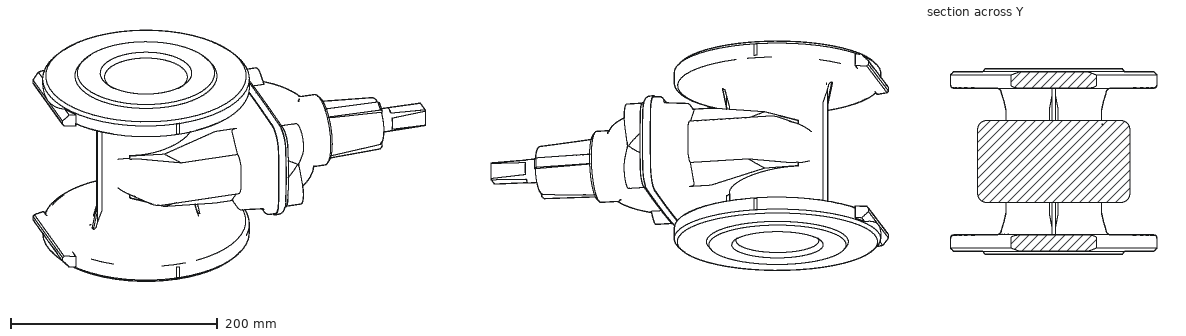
import cadquery as cq
import math

flange_dia = 200.0
face_to_face = 180.0
overall_length = 382
stem_tip_y = overall_length - flange_dia / 2

raised_face_height = 3.0
raised_face_dia = 137.5
raised_face_top_dia = 133.0
flange_thickness = 16.0
flange_edge_chamfer = 3.0
flange_back_fillet = 3.5
pipe_dia = 93.0
flare_start_z = 50.0
flare_end_dia = 101.5
flare_fillet = 4.5
recess_mouth_dia = 88.5
recess_floor_dia = 80.2
recess_depth = 4.2
mark_width = 3.0
mark_depth = 0.57

foot_tip_width = 91.5
foot_root_width = 100.0
foot_root_y = -88
foot_tip_height = 5.5
foot_height = 12.0
foot_slope_length = 6.0
foot_lower_chamfer = 1.5
rib_height = 3.5
rib_crest_width = 4
rib_base_width = 10.7

chamber_half_width = 63.0
chamber_roof_half_width = 44.0
chamber_front_half_width = 38.2
chamber_taper_start_y = 15.3
chamber_half_height = 39.0
chamber_front_half_height = 23
chamber_front_y = -28.5
chamber_slope_end_y = 56.0
rail_half_width = 72.0
rail_half_height = 20.5
rail_corner_radius = 13.8
rail_fillet = 7.5
tangent_angle = math.radians(28)
neck_front_y = 72.5
neck_half_width = 74.5
neck_half_height = 40.5
neck_draft = 2.0
neck_corner_radius = 9.0
neck_front_fillet = 2.3
neck_root_fillet = 2.5

joint_y = 107.5
housing_plate_thickness = 8.8
bonnet_plate_thickness = 8.8
bonnet_step_height = 2.5
plate_half_width = 86.5
plate_half_height = 49.0
plate_side_bulge = 4
plate_top_bulge = 1.5
plate_corner_radius = 21.0
housing_plate_inset = 1.0
bonnet_step_inset = 5.7
housing_plate_fillet = 3.5
bonnet_plate_fillet = 5.5
boss_radius = 16.0
boss_x = 62.3
boss_z = 26.0
boss_top_y = 135.0
face_web_angle = math.radians(28)
side_web_angle = math.radians(36)
face_web_reach = 5.5

dome_radius = 76.5
dome_center_y = 91.0
dome_edge_fillet = 12.2
dome_collar_fillet = 2.3
collar_dia = 69.0
collar_top_y = 179.0
collar_chamfer = 2.3
tower_base_dia = 54.2
tower_top_dia = 46.5
tower_top_y = 235.5
tower_edge_fillet = 2.3
tower_foot_flare = 1.0
tower_foot_height = 3.5
tower_rib_count = 3
tower_rib_width = 9.5
tower_rib_base_reach = 28.5
tower_rib_top_reach = 27.0
stem_dia = 23
square_base_y = 247.5
square_base_width = 19.5
square_tip_width = 17.0

flange_radius = flange_dia / 2
pipe_radius = pipe_dia / 2
flange_face_z = face_to_face / 2 - raised_face_height
flange_back_z = flange_face_z - flange_thickness
housing_plate_y = joint_y - housing_plate_thickness
bonnet_plate_y = joint_y + bonnet_plate_thickness
bonnet_step_y = bonnet_plate_y + bonnet_step_height


def plane_at_y(y):
    """Plane normal to the stem axis, with local x along X and local y along Z."""
    return cq.Plane(origin=(0, y, 0), xDir=(1, 0, 0), normal=(0, -1, 0))


def slab(sketch_at, y_start, y_end):
    """Extrude the outline drawn by sketch_at(workplane) between two Y positions."""
    return sketch_at(cq.Workplane(plane_at_y(y_end))).extrude(y_end - y_start)


def pipe_half():
    """Upper half of the flanged pipe as a solid of revolution, with its face recess."""
    flare_end_radius = flare_end_dia / 2
    flare_end_z = flange_back_z - flare_fillet
    fillet_mid = flare_fillet * (1 - math.sqrt(0.5))
    return (
        cq.Workplane("XZ")
        .moveTo(0, 0)
        .lineTo(pipe_radius, 0)
        .lineTo(pipe_radius, flare_start_z)
        .lineTo(flare_end_radius, flare_end_z)
        .threePointArc(
            (flare_end_radius + fillet_mid, flange_back_z - fillet_mid),
            (flare_end_radius + flare_fillet, flange_back_z),
        )
        .lineTo(flange_radius - flange_back_fillet, flange_back_z)
        .radiusArc((flange_radius, flange_back_z + flange_back_fillet), -flange_back_fillet)
        .lineTo(flange_radius, flange_face_z - flange_edge_chamfer)
        .lineTo(flange_radius - flange_edge_chamfer, flange_face_z)
        .lineTo(raised_face_dia / 2, flange_face_z)
        .lineTo(raised_face_top_dia / 2, face_to_face / 2)
        .lineTo(recess_mouth_dia / 2, face_to_face / 2)
        .lineTo(recess_floor_dia / 2, face_to_face / 2 - recess_depth)
        .lineTo(0, face_to_face / 2 - recess_depth)
        .close()
        .revolve(360, (0, 0, 0), (0, 1, 0))
    )


def side_mark():
    """Shallow vertical groove across each flange rim on both X sides."""
    return (
        cq.Workplane("XY")
        .workplane(offset=flange_back_z)
        .pushPoints([(-flange_radius, 0), (flange_radius, 0)])
        .rect(2 * mark_depth, mark_width)
        .extrude(flange_thickness - flange_edge_chamfer)
    )


def foot():
    """Flat standing foot on the -Y rim of the upper flange, sloped on its top."""
    plan = (
        cq.Workplane("XY")
        .workplane(offset=flange_back_z)
        .polyline([
            (-foot_root_width / 2, foot_root_y),
            (-foot_tip_width / 2, -flange_radius),
            (foot_tip_width / 2, -flange_radius),
            (foot_root_width / 2, foot_root_y),
        ])
        .close()
        .extrude(foot_height)
    )
    side = (
        cq.Workplane("YZ")
        .polyline([
            (foot_root_y, flange_back_z),
            (-flange_radius + foot_lower_chamfer, flange_back_z),
            (-flange_radius, flange_back_z + foot_lower_chamfer),
            (-flange_radius, flange_back_z + foot_tip_height),
            (-flange_radius + foot_slope_length, flange_back_z + foot_height),
            (foot_root_y, flange_back_z + foot_height),
        ])
        .close()
        .extrude(foot_root_width / 2, both=True)
    )
    return plan.intersect(side)


def pipe_rib_half():
    """Upper half of the tapered rib that follows the -Y side of the pipe and its flare."""
    flare_growth = (flare_end_dia - pipe_dia) / 2
    crest_y = -(pipe_radius + rib_height)
    side = (
        cq.Workplane("YZ")
        .polyline([
            (-pipe_radius / 2, 0),
            (crest_y, 0),
            (crest_y, flare_start_z),
            (crest_y - flare_growth, flange_back_z),
            (-pipe_radius / 2, flange_back_z),
        ])
        .close()
        .extrude(rib_base_width, both=True)
    )
    root_y = -pipe_radius + rib_height / 2
    section = (
        cq.Workplane("XY")
        .polyline([
            (-rib_base_width / 2, root_y),
            (-rib_crest_width / 2, crest_y),
            (-rib_crest_width / 2, crest_y - 2 * flare_growth),
            (rib_crest_width / 2, crest_y - 2 * flare_growth),
            (rib_crest_width / 2, crest_y),
            (rib_base_width / 2, root_y),
        ])
        .close()
        .extrude(flange_back_z)
    )
    return section.intersect(side)


def guide_rails():
    """Rails on both sides of the chamber, their front walls tangent to the pipe."""
    tangent_x = pipe_radius * math.sin(tangent_angle)
    tangent_y = -pipe_radius * math.cos(tangent_angle)
    corner_y = tangent_y + (rail_half_width - tangent_x) * math.tan(tangent_angle)
    block = (
        cq.Workplane("XY")
        .workplane(offset=-rail_half_height)
        .polyline([
            (-rail_half_width, housing_plate_y),
            (-rail_half_width, corner_y),
            (-tangent_x, tangent_y),
            (tangent_x, tangent_y),
            (rail_half_width, corner_y),
            (rail_half_width, housing_plate_y),
        ])
        .close()
        .extrude(2 * rail_half_height)
    )
    margin = rail_corner_radius / 2
    corner_edges = cq.selectors.BoxSelector(
        (-rail_half_width - margin, corner_y - margin, -margin),
        (rail_half_width + margin, corner_y + margin, margin),
    )
    block = block.edges(corner_edges).fillet(rail_corner_radius)
    return block.faces("<Z or >Z").edges("not >Y").fillet(rail_fillet)


def chamber():
    """Gate chamber with sloping flanks, whose height and width shrink toward the front."""
    def section(workplane):
        return workplane.polyline([
            (-chamber_half_width, -rail_half_height),
            (-chamber_roof_half_width, -chamber_half_height),
            (chamber_roof_half_width, -chamber_half_height),
            (chamber_half_width, -rail_half_height),
            (chamber_half_width, rail_half_height),
            (chamber_roof_half_width, chamber_half_height),
            (-chamber_roof_half_width, chamber_half_height),
            (-chamber_half_width, rail_half_height),
        ]).close()

    side = (
        cq.Workplane("YZ")
        .polyline([
            (chamber_front_y, -chamber_front_half_height),
            (chamber_front_y, chamber_front_half_height),
            (chamber_slope_end_y, chamber_half_height),
            (housing_plate_y, chamber_half_height),
            (housing_plate_y, -chamber_half_height),
            (chamber_slope_end_y, -chamber_half_height),
        ])
        .close()
        .extrude(chamber_half_width, both=True)
    )
    plan = (
        cq.Workplane("XY")
        .workplane(offset=-chamber_half_height)
        .polyline([
            (-chamber_half_width, housing_plate_y),
            (-chamber_half_width, chamber_taper_start_y),
            (-chamber_front_half_width, chamber_front_y),
            (chamber_front_half_width, chamber_front_y),
            (chamber_half_width, chamber_taper_start_y),
            (chamber_half_width, housing_plate_y),
        ])
        .close()
        .extrude(2 * chamber_half_height)
    )
    return slab(section, chamber_front_y, housing_plate_y).intersect(side).intersect(plan)


def neck():
    """Rectangular neck under the joint, drafted toward the pipe."""
    length = housing_plate_y - neck_front_y
    body = (
        cq.Workplane(plane_at_y(housing_plate_y))
        .rect(2 * neck_half_width, 2 * neck_half_height)
        .extrude(length, taper=math.degrees(math.atan(neck_draft / length)))
    )
    body = body.edges("not (>Y or <Y)").fillet(neck_corner_radius)
    return body.faces("<Y").edges().fillet(neck_front_fillet)


def plate(inset, y_start, y_end):
    """Rounded rectangular plate with gently bulged sides."""
    mid_x = plate_half_width - inset
    mid_z = plate_half_height - inset
    corner_x = mid_x - plate_side_bulge
    corner_z = mid_z - plate_top_bulge

    def outline(workplane):
        return (
            workplane.moveTo(-corner_x, -corner_z)
            .threePointArc((0, -mid_z), (corner_x, -corner_z))
            .threePointArc((mid_x, 0), (corner_x, corner_z))
            .threePointArc((0, mid_z), (-corner_x, corner_z))
            .threePointArc((-mid_x, 0), (-corner_x, -corner_z))
            .close()
        )

    return slab(outline, y_start, y_end).edges("|Y").fillet(plate_corner_radius - inset)


def joint_plates():
    housing_plate = plate(housing_plate_inset, housing_plate_y, joint_y)
    housing_plate = housing_plate.faces("<Y").edges().fillet(housing_plate_fillet)
    bonnet_plate = plate(0, joint_y, bonnet_plate_y)
    bonnet_plate = bonnet_plate.faces(">Y").edges().fillet(bonnet_plate_fillet)
    step = plate(bonnet_step_inset, joint_y, bonnet_step_y)
    return housing_plate.union(bonnet_plate).union(step)


def neck_and_joint():
    """Neck and joint plates in one piece, with a fillet where the neck meets its plate."""
    margin = neck_root_fillet / 2
    neck_root = cq.selectors.BoxSelector(
        (-neck_half_width - margin, housing_plate_y - margin, -neck_half_height - margin),
        (neck_half_width + margin, housing_plate_y + margin, neck_half_height + margin),
        boundingbox=True,
    )
    return neck().union(joint_plates()).edges(neck_root).fillet(neck_root_fillet)


def bolt_boss(side_x, side_z):
    """Round corner boss with two sloping webs: one onto the dome face, one to mid height."""
    face_touch = (
        boss_x - boss_radius * math.sin(face_web_angle),
        boss_z + boss_radius * math.cos(face_web_angle),
    )
    face_end_x = boss_x - boss_radius - face_web_reach
    face_end_z = face_touch[1] - (face_touch[0] - face_end_x) * math.tan(face_web_angle)
    side_touch = (
        boss_x + boss_radius * math.cos(side_web_angle),
        boss_z - boss_radius * math.sin(side_web_angle),
    )
    side_end_x = side_touch[0] - side_touch[1] * math.tan(side_web_angle)
    web_points = [
        (boss_x, boss_z),
        side_touch,
        (side_end_x, 0),
        (face_end_x, 0),
        (face_end_x, face_end_z),
        face_touch,
    ]
    web_points = [(side_x * x, side_z * z) for x, z in web_points]
    round_part = slab(
        lambda wp: wp.center(side_x * boss_x, side_z * boss_z).circle(boss_radius), joint_y, boss_top_y
    )
    web = slab(lambda wp: wp.polyline(web_points).close(), joint_y, boss_top_y)
    return round_part.union(web)


def dome():
    """Domed bonnet: a thick round segment with well rounded edges."""
    dome_segment = (
        cq.Workplane("XY")
        .center(0, dome_center_y)
        .circle(dome_radius)
        .extrude(collar_dia / 2, both=True)
        .edges()
        .fillet(dome_edge_fillet)
    )
    keep = slab(
        lambda wp: wp.rect(2 * plate_half_width, collar_dia), joint_y, dome_center_y + dome_radius
    )
    return dome_segment.intersect(keep)


def collar():
    body = slab(lambda wp: wp.circle(collar_dia / 2), joint_y, collar_top_y)
    return body.faces(">Y").edges().chamfer(collar_chamfer)


def tower():
    """Tapered stem tower with three lengthwise ribs."""
    cone = (
        cq.Workplane("XY")
        .polyline([
            (0, collar_top_y),
            (tower_base_dia / 2 + tower_foot_flare, collar_top_y),
            (tower_base_dia / 2, collar_top_y + tower_foot_height),
            (tower_top_dia / 2, tower_top_y),
            (0, tower_top_y),
        ])
        .close()
        .revolve(360, (0, 0, 0), (0, 1, 0))
        .faces(">Y")
        .edges()
        .fillet(tower_edge_fillet)
    )
    rib = (
        cq.Workplane("XY")
        .polyline([
            (0, collar_top_y),
            (-tower_rib_base_reach, collar_top_y),
            (-tower_rib_top_reach, tower_top_y - tower_edge_fillet),
            (-tower_rib_top_reach + tower_edge_fillet, tower_top_y),
            (0, tower_top_y),
        ])
        .close()
        .extrude(tower_rib_width / 2, both=True)
    )
    for index in range(tower_rib_count):
        cone = cone.union(rib.rotate((0, 0, 0), (0, 1, 0), index * 360 / tower_rib_count))
    return cone


def stem():
    """Round stem that ends in a tapered square drive."""
    square = (
        cq.Workplane(plane_at_y(square_base_y))
        .rect(square_base_width, square_base_width)
        .workplane(offset=square_base_y - stem_tip_y)
        .rect(square_tip_width, square_tip_width)
        .loft(ruled=True)
    )
    envelope = slab(lambda wp: wp.circle(stem_dia / 2), square_base_y, stem_tip_y)
    shaft = slab(lambda wp: wp.circle(stem_dia / 2), collar_top_y, square_base_y)
    return shaft.union(square.intersect(envelope))


def bonnet_top():
    """Dome and collar in one piece, with a fillet along the line where they meet."""
    meeting_edges = cq.selectors.BoxSelector(
        (-collar_dia, dome_center_y + dome_radius / 2, -collar_dia),
        (collar_dia, dome_center_y + dome_radius + 4, collar_dia),
    )
    return dome().union(collar()).edges(meeting_edges).fillet(dome_collar_fillet)


front_rib = pipe_rib_half()
upper_half = pipe_half().union(foot()).union(front_rib).union(front_rib.mirror("XZ")).cut(side_mark())
result = upper_half.union(upper_half.mirror("XY"))

for piece in (chamber(), guide_rails(), neck_and_joint(), bonnet_top(), tower(), stem()):
    result = result.union(piece)

for boss_side_x in (-1, 1):
    for boss_side_z in (-1, 1):
        result = result.union(bolt_boss(boss_side_x, boss_side_z))